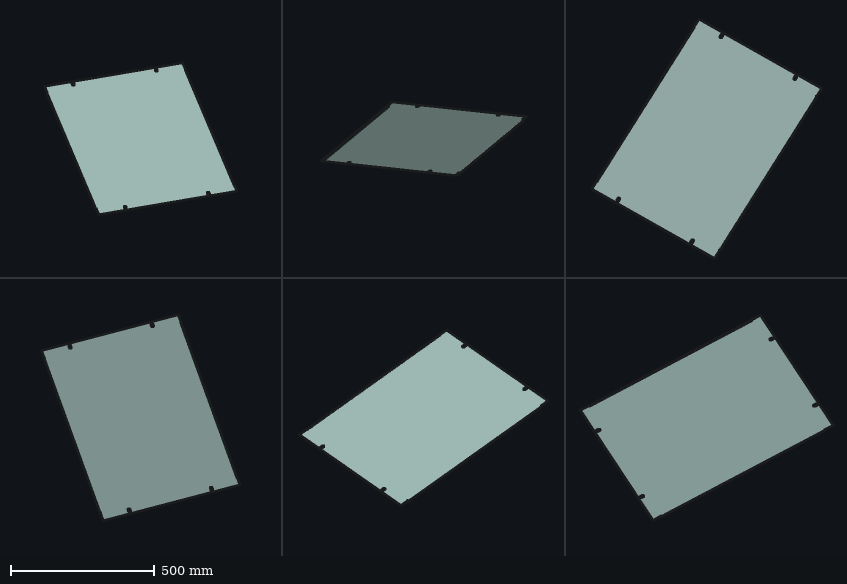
import cadquery as cq

panel_length = 730.0
panel_width = 499.0
panel_height = 6.5
sheet_thickness = 1.0

flange_length = 660.0
bend_inner_radius = 1.0
bend_outer_radius = bend_inner_radius + sheet_thickness

slot_length = 15.0
slot_width = 7.0
slot_spacing_x = 703.0
slot_spacing_y = 300.0


def make_block(length, width, height):
    """Block centred in X and Y, standing on Z = 0."""
    return cq.Workplane("XY").box(length, width, height, centered=(True, True, False))


def round_bends(block, radius):
    """Round the two long top edges of a block."""
    return block.edges("|X and >Z").fillet(radius)


def make_end_strips():
    """Flat sheet beyond both ends of the flanges, flush with the panel's top face."""
    sheet = make_block(panel_length, panel_width, sheet_thickness)
    sheet = sheet.translate((0, 0, panel_height - sheet_thickness))
    return sheet.cut(make_block(flange_length, panel_width, panel_height))


def make_folded_middle():
    """Channel-shaped middle stretch: sheet with both long edges bent down."""
    inner_width = panel_width - 2 * sheet_thickness
    inner_height = panel_height - sheet_thickness
    outer = round_bends(make_block(flange_length, panel_width, panel_height), bend_outer_radius)
    inner = round_bends(make_block(flange_length, inner_width, inner_height), bend_inner_radius)
    return outer.cut(inner)


def make_slots():
    """Four slots, long axis along X, in a rectangular pattern."""
    return (
        cq.Workplane("XY")
        .rect(slot_spacing_x, slot_spacing_y, forConstruction=True)
        .vertices()
        .slot2D(slot_length, slot_width)
        .extrude(panel_height)
    )


result = make_end_strips().union(make_folded_middle()).cut(make_slots())